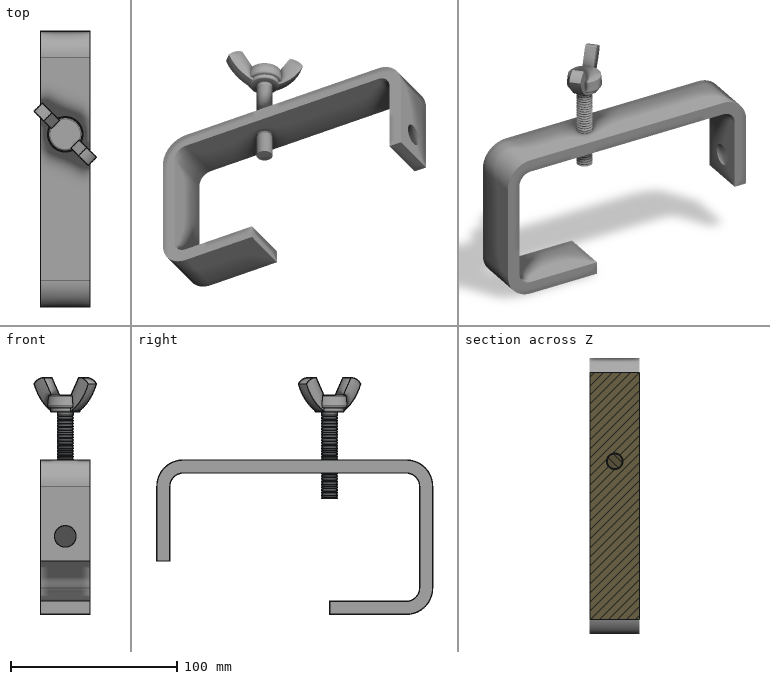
import cadquery as cq

clamp_length = 166.0
clamp_height = 93.0
strap_width = 29.9
strap_thickness = 8.0
bend_outer_radius = 2 * strap_thickness
lip_length = 62.1
short_leg_length = 61.0
leg_hole_diameter = 13.0
leg_hole_rise = 15.0

thread_radius = 4.8
thread_depth = 0.5
thread_length = 50.0
thread_count = 30
bolt_reach = 23.0
head_base = 28.7

collar_radius = 8.8
collar_height = 2.5
collar_fillet = 0.8
hub_bottom_radius = 10.8
hub_top_radius = 10.0
hub_top = 10.3
hub_lower_fillet = 1.3
hub_upper_fillet = 0.8

wing_thickness = 7.0
wing_top = 20.8
wing_tip_radius = 23.0
wing_tip_height = 17.0
wing_crown_radius = 14.8
wing_root_radius = 8.3
wing_foot_height = 0.8
wing_crown_arc_radius = 10.0
wing_outer_arc_radius = 33.2
wing_angle = -45.0

y_max = clamp_length / 2
lip_y = y_max - lip_length
bolt_y = lip_y
inner_y = y_max - strap_thickness
bend_inner_radius = bend_outer_radius - strap_thickness


def round_bend(strap, side, z_outer, z_inner):
    """Round the outer and inner edge of one bend; side is +1 or -1 for the +Y or -Y end."""
    outer_edge = cq.selectors.NearestToPointSelector((0, side * y_max, z_outer))
    inner_edge = cq.selectors.NearestToPointSelector((0, side * inner_y, z_inner))
    strap = strap.edges("|X").edges(outer_edge).fillet(bend_outer_radius)
    return strap.edges("|X").edges(inner_edge).fillet(bend_inner_radius)


def make_clamp():
    """Bent strap with a bolt hole in its top and a plain hole in its short leg."""
    lip_top = strap_thickness - clamp_height
    outline = (
        cq.Workplane("YZ")
        .moveTo(lip_y, -clamp_height)
        .lineTo(y_max, -clamp_height)
        .lineTo(y_max, 0)
        .lineTo(-y_max, 0)
        .lineTo(-y_max, -short_leg_length)
        .lineTo(-inner_y, -short_leg_length)
        .lineTo(-inner_y, -strap_thickness)
        .lineTo(inner_y, -strap_thickness)
        .lineTo(inner_y, lip_top)
        .lineTo(lip_y, lip_top)
        .close()
    )
    strap = outline.extrude(strap_width / 2, both=True)

    strap = round_bend(strap, 1, 0, -strap_thickness)
    strap = round_bend(strap, -1, 0, -strap_thickness)
    strap = round_bend(strap, 1, -clamp_height, lip_top)

    bolt_hole = (
        cq.Workplane("XY", origin=(0, bolt_y, -strap_thickness))
        .circle(thread_radius)
        .extrude(strap_thickness)
    )
    leg_hole = (
        cq.Workplane("XZ", origin=(0, -inner_y, leg_hole_rise - short_leg_length))
        .circle(leg_hole_diameter / 2)
        .extrude(strap_thickness)
    )
    return strap.cut(bolt_hole).cut(leg_hole)


def make_shank():
    """Threaded shank: V grooves from the bolt end, then a short plain neck."""
    pitch = thread_length / thread_count
    outline = cq.Workplane("XZ").moveTo(0, -bolt_reach).lineTo(thread_radius, -bolt_reach)
    for i in range(thread_count):
        crest_z = -bolt_reach + i * pitch
        outline = outline.lineTo(thread_radius - thread_depth, crest_z + pitch / 2)
        outline = outline.lineTo(thread_radius, crest_z + pitch)
    outline = outline.lineTo(thread_radius, head_base).lineTo(0, head_base).close()
    return outline.revolve(360, (0, 0), (0, 1))


def make_hub():
    """Tapered hub on a narrower collar."""
    collar = (
        cq.Workplane("XY")
        .circle(collar_radius)
        .extrude(collar_height)
        .faces("<Z")
        .edges()
        .fillet(collar_fillet)
    )
    hub = (
        cq.Workplane("XZ")
        .moveTo(0, collar_height)
        .lineTo(hub_bottom_radius, collar_height)
        .lineTo(hub_top_radius, hub_top)
        .lineTo(0, hub_top)
        .close()
        .revolve(360, (0, 0), (0, 1))
    )
    hub = hub.faces("<Z").edges().fillet(hub_lower_fillet)
    hub = hub.faces(">Z").edges().fillet(hub_upper_fillet)
    return collar.union(hub)


def make_wing():
    """One wing along +X: straight inner edge, rounded crown and bowed outer edge."""
    outline = (
        cq.Workplane("XZ")
        .moveTo(0, wing_foot_height)
        .lineTo(collar_radius, wing_foot_height)
        .radiusArc((wing_tip_radius, wing_tip_height), -wing_outer_arc_radius)
        .radiusArc((wing_crown_radius, wing_top), -wing_crown_arc_radius)
        .lineTo(wing_root_radius, hub_top)
        .lineTo(0, hub_top)
        .close()
    )
    return outline.extrude(wing_thickness / 2, both=True)


def make_wing_bolt():
    """Shank, hub and two opposite wings as one solid."""
    head = make_hub()
    for turn in (0, 180):
        head = head.union(make_wing().rotate((0, 0, 0), (0, 0, 1), wing_angle + turn))
    bolt = make_shank().union(head.translate((0, 0, head_base)))
    return bolt.translate((0, bolt_y, 0))


clamp = make_clamp()
wing_bolt = make_wing_bolt()

result = cq.Compound.makeCompound([clamp.val(), wing_bolt.val()])